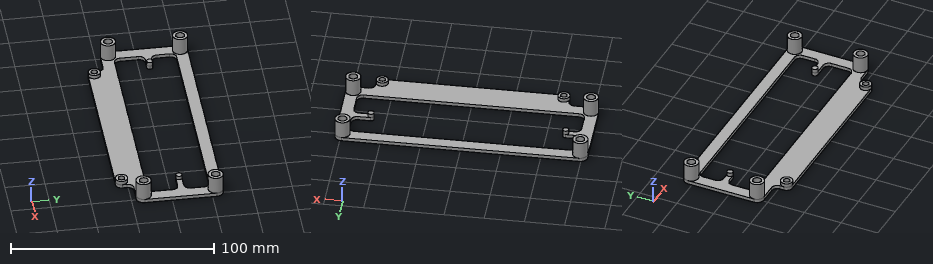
import cadquery as cq
import math

frame_length = 125.9
frame_width = 43.4
plate_thickness = 2.0
rim_width = 6.3
window_radius = 3.0

post_diameter = 7.5
post_hole_diameter = 4.3
post_top = 11.0

overall_width = 51.7
boss_diameter = 6.0
boss_hole_diameter = 3.1
boss_top = 4.0
tab_length = 96.5
tab_center_x = 0.9
tab_fillet_radius = 3.0

arm_width = 3.1
arm_center_y = 1.4
arm_fillet_radius = 3.0
left_pin_x = -49.5
right_pin_x = 47.5
pin_top = 4.0

post_radius = post_diameter / 2
boss_radius = boss_diameter / 2
window_length = frame_length - 2 * rim_width
window_width = frame_width - 2 * rim_width
tab_bottom_y = frame_width / 2 - overall_width
boss_offset_x = tab_length / 2 - boss_radius
boss_center_y = tab_bottom_y + boss_radius

post_points = [
    (x, y)
    for x in (-frame_length / 2 + post_radius, frame_length / 2 - post_radius)
    for y in (-frame_width / 2 + post_radius, frame_width / 2 - post_radius)
]
boss_points = [(tab_center_x + side * boss_offset_x, boss_center_y) for side in (-1, 1)]
pin_points = [(left_pin_x, arm_center_y), (right_pin_x, arm_center_y)]


def rounded_plate(length, width, radius):
    """Flat plate centered on the origin with rounded vertical corners."""
    plate = cq.Workplane("XY").rect(length, width).extrude(plate_thickness)
    return plate.edges("|Z").fillet(radius)


def cylinders(points, diameter, height):
    """Equal upright cylinders standing on the bottom plane."""
    return cq.Workplane("XY").pushPoints(points).circle(diameter / 2).extrude(height)


def vertical_edges_near(solid, points):
    """Vertical edges passing through the given plan positions."""
    picked = solid.edges(cq.selectors.NearestToPointSelector((*points[0], plate_thickness / 2)))
    for point in points[1:]:
        nearest = cq.selectors.NearestToPointSelector((*point, plate_thickness / 2))
        picked = picked.add(solid.edges(nearest))
    return picked


def make_outer_plate():
    """Solid frame outline joined to the tab, with filleted inside corners."""
    tab_width = frame_width / 2 - tab_bottom_y - rim_width
    tab = rounded_plate(tab_length, tab_width, boss_radius)
    tab = tab.translate((tab_center_x, tab_bottom_y + tab_width / 2, 0))
    plate = rounded_plate(frame_length, frame_width, post_radius).union(tab)
    corners = [(tab_center_x + side * tab_length / 2, -frame_width / 2) for side in (-1, 1)]
    return vertical_edges_near(plate, corners).fillet(tab_fillet_radius)


def make_window():
    """Window opening with a round-ended arm left standing at each end."""
    window = rounded_plate(window_length, window_width, window_radius)
    for pin_x in (left_pin_x, right_pin_x):
        root_x = math.copysign(window_length / 2, pin_x)
        arm_length = abs(root_x - pin_x)
        arm_center_x = (root_x + pin_x) / 2
        arm = (
            cq.Workplane("XY")
            .center(arm_center_x, arm_center_y)
            .rect(arm_length, arm_width)
            .extrude(plate_thickness)
        )
        window = window.cut(arm)
    roots = [
        (side_x * window_length / 2, arm_center_y + side_y * arm_width / 2)
        for side_x in (-1, 1)
        for side_y in (-1, 1)
    ]
    window = vertical_edges_near(window, roots).fillet(arm_fillet_radius)
    return window.cut(cylinders(pin_points, arm_width, plate_thickness))


result = make_outer_plate().cut(make_window())

result = result.union(cylinders(post_points, post_diameter, post_top))
result = result.union(cylinders(boss_points, boss_diameter, boss_top))
result = result.union(cylinders(pin_points, arm_width, pin_top))

result = result.cut(cylinders(post_points, post_hole_diameter, post_top))
result = result.cut(cylinders(boss_points, boss_hole_diameter, boss_top))